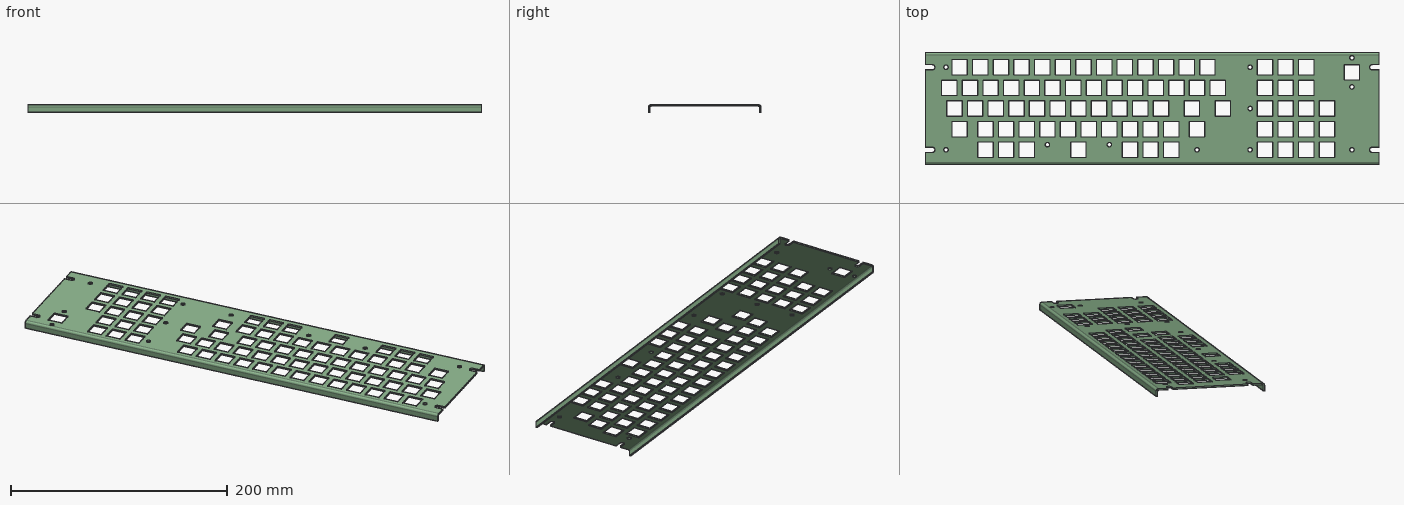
import cadquery as cq

LENGTH = 418.68
WIDTH = 103.7
HEIGHT = 7.25
THICKNESS = 1.5
INNER_BEND_RADIUS = 0.75
OUTER_BEND_RADIUS = INNER_BEND_RADIUS + THICKNESS

KEY_PITCH = 19.05
KEY_CUTOUT = 14.0
FIRST_KEY_X = -177.72
KEYPAD_COLUMN = 14.79

HOLE_DIAMETER = 3.9
LEFT_HOLE_COLUMN = -0.66
MIDDLE_HOLE_COLUMN = 14.07
LONE_KEY_HOLE_OFFSET = 13.4

SLOT_WIDTH = 4.6
SLOT_DEPTH = 8.7
SLOT_Y = 2 * KEY_PITCH

LONE_KEY_COLUMN = 19.0
LONE_KEY_ROW = 1.75


def run_of_keys(first, count):
    """Columns of keys that stand one pitch apart."""
    return [first + i for i in range(count)]


KEY_ROWS = {
    2: run_of_keys(0, 13) + run_of_keys(KEYPAD_COLUMN, 3),
    1: run_of_keys(-0.5, 14) + run_of_keys(KEYPAD_COLUMN, 3),
    0: run_of_keys(-0.25, 11) + [11.25, 12.75] + run_of_keys(KEYPAD_COLUMN, 4),
    -1: [0] + run_of_keys(1.25, 10) + [11.5] + run_of_keys(KEYPAD_COLUMN, 4),
    -2: run_of_keys(1.25, 3) + [5.75] + run_of_keys(8.25, 3) + run_of_keys(KEYPAD_COLUMN, 4),
    LONE_KEY_ROW: [LONE_KEY_COLUMN],
}

HOLE_ROWS = {
    2: [LEFT_HOLE_COLUMN, MIDDLE_HOLE_COLUMN],
    0: [MIDDLE_HOLE_COLUMN],
    -1.75: [4.25, 7.25],
    -2: [LEFT_HOLE_COLUMN, 11.5, MIDDLE_HOLE_COLUMN, LONE_KEY_COLUMN],
}


def grid_points(rows):
    """Plate positions of grid places given as {row: columns}."""
    return [
        (FIRST_KEY_X + column * KEY_PITCH, row * KEY_PITCH)
        for row, columns in rows.items()
        for column in columns
    ]


def block(width, height, bend_radius):
    """A bar along X standing on Z = 0, with its two long upper edges rounded."""
    bar = cq.Workplane("XY").box(LENGTH, width, height, centered=(True, True, False))
    return bar.edges("|X and >Z").fillet(bend_radius)


def channel():
    """The plate with a flange bent down along each long edge."""
    inside = block(WIDTH - 2 * THICKNESS, HEIGHT - THICKNESS, INNER_BEND_RADIUS)
    return block(WIDTH, HEIGHT, OUTER_BEND_RADIUS).cut(inside)


def key_cutters():
    """Square prisms through the plate, one for each key."""
    return (
        cq.Workplane("XY")
        .pushPoints(grid_points(KEY_ROWS))
        .rect(KEY_CUTOUT, KEY_CUTOUT)
        .extrude(HEIGHT)
    )


def hole_cutters():
    """Cylinders through the plate, one for each screw hole."""
    [(lone_x, lone_y)] = grid_points({LONE_KEY_ROW: [LONE_KEY_COLUMN]})
    lone_key_holes = [(lone_x, lone_y + side * LONE_KEY_HOLE_OFFSET) for side in (-1, 1)]
    return (
        cq.Workplane("XY")
        .pushPoints(grid_points(HOLE_ROWS) + lone_key_holes)
        .circle(HOLE_DIAMETER / 2)
        .extrude(HEIGHT)
    )


def slot_cutters():
    """Round-ended slots centred on the short edges, so that each opens outward."""
    centres = [(x, y) for x in (-LENGTH / 2, LENGTH / 2) for y in (-SLOT_Y, SLOT_Y)]
    return cq.Workplane("XY").pushPoints(centres).slot2D(2 * SLOT_DEPTH, SLOT_WIDTH).extrude(HEIGHT)


result = channel().cut(key_cutters()).cut(hole_cutters()).cut(slot_cutters())